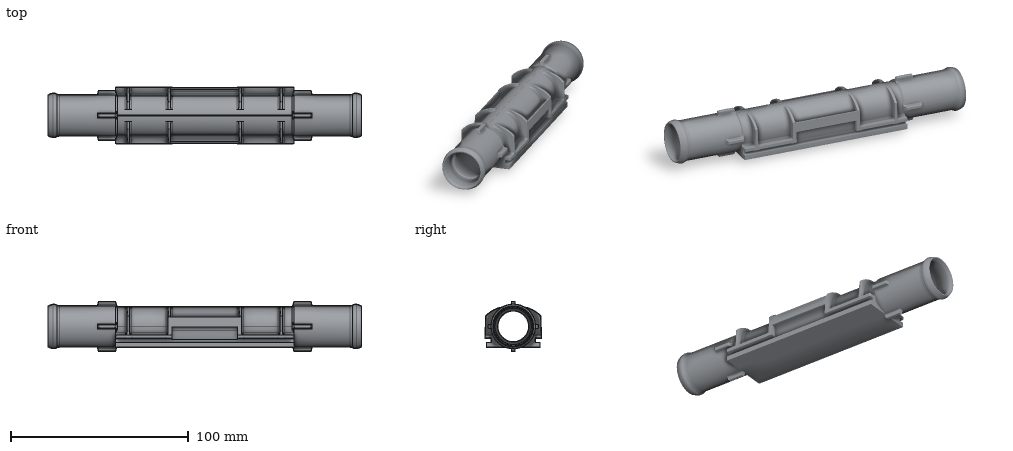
import cadquery as cq
import math

tube_length = 176.5
tube_radius = 11.6
bore_radius = 8.6
half_length = tube_length / 2

end_radius = 11.5
bead_radius = 12.5
bead_crest = 2.8
bead_end = 5.0
bead_shoulder = 1.5
bead_shoulder_radius = 12.2
bead_foot_radius = 12.0
bead_blend_end = 6.5
mouth_radius = 11.0
mouth_depth = 2.1
socket_radius = 10.2
socket_depth = 10.2
socket_step_end = 12.0

body_length = 100.6
body_radius = 11.0
body_taper = 1.0
half_body = body_length / 2
flange_width = 32.0
foot_width = 30.4
slot_floor_width = 24.9
ledge_z = -4.8
slot_top_z = -6.7
slot_bottom_z = -9.0
slot_fillet = 0.7
base_z = -11.8
ledge_fillet = 1.2
flange_corner = 0.7
flange_rounding = 0.4
seam_width = 0.7
seam_height = 0.2

rib_thickness = 1.6
rib_positions = (43.0, 20.0)
rib_fillet = 1.0
rib_rounding = 0.4
rib_inner_y = 3.4
rib_top_z = 11.1
rib_mid_y = 9.7
rib_mid_z = 9.9
rib_outer_y = 15.5
rib_outer_z = 5.8

wall_thickness = 0.9
wall_top_z = 5.3
pocket_floor_z = 0.9
pocket_fillet = 1.2
recess_length = 37.0
recess_top_z = -0.26
recess_step = 0.4
recess_fillet = 2.0

fin_length = 10.2
fin_thickness = 2.1
fin_reach = 14.1
fin_end_draft = 0.7
fin_fillet = 1.0
fin_rounding = 0.45
fin_foot_z = 11.3


def box(x_min, x_max, y_min, y_max, z_min, z_max):
    """Box between the given limits."""
    size = (x_max - x_min, y_max - y_min, z_max - z_min)
    return cq.Workplane("XY").box(*size, centered=False).translate((x_min, y_min, z_min))


def both_ends(shape):
    """The shape together with its mirror image across the YZ plane."""
    return shape.union(shape.mirror("YZ"))


def both_sides(shape):
    """The shape together with its mirror image across the XZ plane."""
    return shape.union(shape.mirror("XZ"))


def extrude_along_x(profile, length):
    """Extrude a YZ profile by the given length, centred on X = 0."""
    return profile.extrude(length / 2, both=True)


def corner_fillet(y, z, radius, length):
    """Concave fillet strips along X, rising from the corner at (y, z) and at (-y, z)."""
    round_cut = extrude_along_x(cq.Workplane("YZ").center(y + radius, z + radius).circle(radius), length)
    return both_sides(box(-length / 2, length / 2, y, y + radius, z, z + radius).cut(round_cut))


def flared_section(plane, thickness, fillet, floor, foot, top):
    """Outline of an upright plate from floor to top, flared by concave fillets above its foot."""
    half = thickness / 2
    flare = half + fillet
    fillet_top = foot + fillet
    bend = fillet * (1 - math.sqrt(0.5))
    return (
        plane
        .moveTo(-flare, floor)
        .lineTo(-flare, foot)
        .threePointArc((-half - bend, foot + bend), (-half, fillet_top))
        .lineTo(-half, top)
        .lineTo(half, top)
        .lineTo(half, fillet_top)
        .threePointArc((half + bend, foot + bend), (flare, foot))
        .lineTo(flare, floor)
        .close()
    )


def half_tube():
    """Solid -X half of the outer tube with its end bead, reaching the taper onto the body."""
    shoulder = (-half_length + bead_shoulder, bead_shoulder_radius)
    crest = (-half_length + bead_crest, bead_radius)
    return (
        cq.Workplane("XY")
        .moveTo(-half_length, 0)
        .lineTo(-half_length, end_radius)
        .threePointArc(shoulder, crest)
        .tangentArcPoint((-half_length + bead_end, bead_foot_radius), relative=False)
        .lineTo(-half_length + bead_blend_end, tube_radius)
        .lineTo(-half_body, tube_radius)
        .lineTo(-half_body + body_taper, body_radius)
        .lineTo(0, body_radius)
        .lineTo(0, 0)
        .close()
        .revolve(360, (0, 0, 0), (1, 0, 0))
    )


def half_bore():
    """Cutter for the -X half of the bore: tapered mouth, socket and S-curved step down to the bore."""
    step_middle_x = -half_length + (socket_depth + socket_step_end) / 2
    step_middle_radius = (socket_radius + bore_radius) / 2
    return (
        cq.Workplane("XY")
        .moveTo(-half_length, 0)
        .lineTo(-half_length, mouth_radius)
        .lineTo(-half_length + mouth_depth, socket_radius)
        .lineTo(-half_length + socket_depth, socket_radius)
        .tangentArcPoint((step_middle_x, step_middle_radius), relative=False)
        .tangentArcPoint((-half_length + socket_step_end, bore_radius), relative=False)
        .lineTo(0, bore_radius)
        .lineTo(0, 0)
        .close()
        .revolve(360, (0, 0, 0), (1, 0, 0))
    )


def base():
    """Flanged base: straight flanks below the tube axis, filleted onto the ledges."""
    flanks = box(-half_body, half_body, -body_radius, body_radius, base_z, 0)
    flange = box(-half_body, half_body, -flange_width / 2, flange_width / 2, slot_top_z, ledge_z)
    flange = flange.edges("|Z").fillet(flange_corner)
    flange = flange.faces("<Z").edges().fillet(flange_rounding)
    core = box(-half_body, half_body, -slot_floor_width / 2, slot_floor_width / 2, base_z, ledge_z)
    foot = box(-half_body, half_body, -foot_width / 2, foot_width / 2, base_z, slot_bottom_z)
    ledge_blend = corner_fillet(body_radius, ledge_z, ledge_fillet, body_length)
    slot_corner = corner_fillet(slot_floor_width / 2, -slot_top_z, slot_fillet, body_length).mirror("XY")
    seam = box(-half_body, half_body, -seam_width / 2, seam_width / 2, 0, body_radius + seam_height)
    return flanks.union(flange).union(core).union(foot).union(ledge_blend).union(slot_corner).union(seam)


def rib_profile():
    """YZ outline of a rib on the +Y side, with a domed top and a drafted outer edge."""
    return (
        cq.Workplane("YZ")
        .moveTo(rib_inner_y, slot_top_z)
        .lineTo(rib_inner_y, rib_top_z)
        .threePointArc((rib_mid_y, rib_mid_z), (rib_outer_y, rib_outer_z))
        .lineTo(flange_width / 2, slot_top_z)
        .close()
    )


def rib_root():
    """Concave fillets where a +Y rib at X = 0 meets the body, its straight flank and the ledge."""
    plate_sizes = (rib_thickness, rib_fillet)
    section_sizes = (*plate_sizes, 0, body_radius, body_radius + 2 * rib_fillet)
    root_width = rib_thickness + 2 * rib_fillet
    straight = flared_section(cq.Workplane("XY"), *section_sizes).extrude(ledge_z)
    around = flared_section(cq.Workplane("XY"), *section_sizes).revolve(360, (0, 0, 0), (1, 0, 0))
    on_ledge = (
        flared_section(cq.Workplane("XZ"), *plate_sizes, slot_top_z, ledge_z, ledge_z + 2 * rib_fillet)
        .extrude(-flange_width / 2)
    )
    return around.union(straight).union(on_ledge).intersect(extrude_along_x(rib_profile(), root_width))


def ribs():
    """All eight ribs with their root fillets."""
    plate = extrude_along_x(rib_profile(), rib_thickness).faces("|X").edges().fillet(rib_rounding)
    rib_pair = both_sides(plate.union(rib_root()))
    outer_x, inner_x = rib_positions
    return both_ends(rib_pair.translate((outer_x, 0, 0)).union(rib_pair.translate((inner_x, 0, 0))))


def side_wall():
    """+Y wall joining the inner ribs, with the web that floors the pocket behind it."""
    length = 2 * rib_positions[1] + rib_thickness
    clear_z = 2 * rib_top_z
    envelope = extrude_along_x(rib_profile(), length)
    pocket = box(-length, length, 0, rib_outer_y - wall_thickness, pocket_floor_z, clear_z)
    pocket = pocket.edges("|X and >Y and <Z").fillet(pocket_fillet)
    above = box(-length, length, 0, flange_width, wall_top_z, clear_z)
    wall = envelope.cut(pocket).cut(above)
    return wall.union(corner_fillet(body_radius, pocket_floor_z, pocket_fillet, length))


def recess():
    """Cutter for the +Y recess, which opens downward into the base slot."""
    floor_y = slot_floor_width / 2 - recess_step
    bottom_z = slot_top_z - slot_fillet
    return (
        box(-recess_length / 2, recess_length / 2, floor_y, flange_width, bottom_z, recess_top_z)
        .edges("|X and >Z and <Y")
        .fillet(recess_fillet)
    )


def top_fin():
    """Fin above the -X tube, flared at the foot and drafted at its free end."""
    tip_x = -half_body - fin_length
    plane = cq.Workplane("YZ", origin=(tip_x, 0, 0))
    section = (
        flared_section(plane, fin_thickness, fin_fillet, bore_radius, fin_foot_z, fin_reach)
        .extrude(fin_length + body_taper)
    )
    side = (
        cq.Workplane("XZ")
        .moveTo(tip_x, bore_radius)
        .lineTo(tip_x, fin_foot_z)
        .lineTo(tip_x + fin_end_draft, fin_reach)
        .lineTo(-half_body, fin_reach)
        .lineTo(-half_body + body_taper, body_radius)
        .lineTo(-half_body + body_taper, bore_radius)
        .close()
        .extrude(tube_radius, both=True)
    )
    return section.intersect(side).faces(">Z").edges().fillet(fin_rounding)


def fins():
    """Four fins around the tube beside each end of the body."""
    fin = top_fin()
    ring = fin
    for quarter in range(1, 4):
        ring = ring.union(fin.rotate((0, 0, 0), (1, 0, 0), 90 * quarter))
    return both_ends(ring)


result = both_ends(half_tube()).union(base()).union(both_sides(side_wall())).union(ribs())
result = result.cut(both_sides(recess())).union(fins()).cut(both_ends(half_bore()))